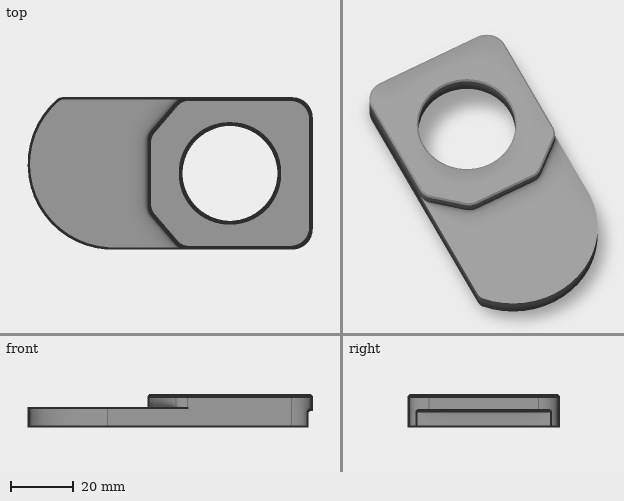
import cadquery as cq
import math

total_length = 90.4
width = 48.0
half_width = width / 2
height = 10.0
plate_height = 6.0
edge_chamfer = 0.5

round_radius = 27.0
straight_start = 25.2
plate_corner_radius = 3.0

block_start = 38.2
block_corner_start = 48.4
block_nose_half_width = 12.1
block_nose_radius = 5.0
end_corner_radius = 6.5

hole_x = 64.3
hole_diameter = 31.0
groove_radius = 1.1
groove_axis_offset = 0.3
groove_z = 6.7

recess_diameter = 43.9
recess_depth = 4.0

undercut_wall = 89.0
undercut_height = 5.3
undercut_corner_chamfer = 0.5


def make_plate():
    """Low plate: a round end running into two straight sides."""
    centre_x = round_radius
    side_offset = centre_x - straight_start
    centre_y = math.sqrt(round_radius**2 - side_offset**2) - half_width
    cut_off_x = centre_x - math.sqrt(round_radius**2 - (half_width - centre_y) ** 2)
    plate = (
        cq.Workplane("XY")
        .moveTo(straight_start, -half_width)
        .lineTo(total_length, -half_width)
        .lineTo(total_length, half_width)
        .lineTo(cut_off_x, half_width)
        .threePointArc((centre_x - round_radius, centre_y), (straight_start, -half_width))
        .close()
        .extrude(plate_height)
    )
    sharp_corner = cq.selectors.NearestToPointSelector((cut_off_x, half_width, plate_height / 2))
    plate = plate.edges(sharp_corner).fillet(plate_corner_radius)
    return plate.edges("|Z and >X").fillet(end_corner_radius)


def make_block():
    """Full-height block with a tapered nose, chamfered around its top edge."""
    outline = [
        (total_length, -half_width),
        (total_length, half_width),
        (block_corner_start, half_width),
        (block_start, block_nose_half_width),
        (block_start, -block_nose_half_width),
        (block_corner_start, -half_width),
    ]
    block = cq.Workplane("XY").polyline(outline).close().extrude(height)
    block = block.edges("|Z and >X").fillet(end_corner_radius)
    middle_x = (block_start + total_length) / 2
    nose_box = cq.selectors.BoxSelector((0, -width, 0), (middle_x, width, height))
    block = block.edges("|Z").edges(nose_box).fillet(block_nose_radius)
    return block.faces(">Z").edges().chamfer(edge_chamfer)


def make_hole():
    """Through hole with a chamfered top rim."""
    radius = hole_diameter / 2
    hole = cq.Workplane("XY").center(hole_x, 0).circle(radius).extrude(height)
    rim_base = cq.Vector(hole_x, 0, height - edge_chamfer)
    rim = cq.Solid.makeCone(radius, radius + edge_chamfer, edge_chamfer, rim_base)
    return hole.union(cq.Workplane(rim))


def make_recess():
    """Wide, shallow recess that leaves a thin ring around the hole."""
    return cq.Workplane("XY").center(hole_x, 0).circle(recess_diameter / 2).extrude(recess_depth)


def make_groove():
    """Straight round-bottomed groove along X that fades out in the +Y side of the hole wall."""
    bar = cq.Workplane("YZ", origin=(hole_x - hole_diameter / 2, 0, 0))
    bar = bar.center(hole_diameter / 2 + groove_axis_offset, groove_z)
    return bar.circle(groove_radius).extrude(hole_diameter)


def make_undercut():
    """Step cut out below the square end, with a sloped inner corner."""
    profile = [
        (undercut_wall, 0),
        (total_length, 0),
        (total_length, undercut_height),
        (undercut_wall + undercut_corner_chamfer, undercut_height),
        (undercut_wall, undercut_height - undercut_corner_chamfer),
    ]
    section = cq.Workplane("XZ", origin=(0, half_width, 0)).polyline(profile).close()
    return section.extrude(width)


body = make_plate().union(make_block())
body = body.cut(make_hole())
body = body.cut(make_recess())
body = body.cut(make_groove())
result = body.cut(make_undercut())